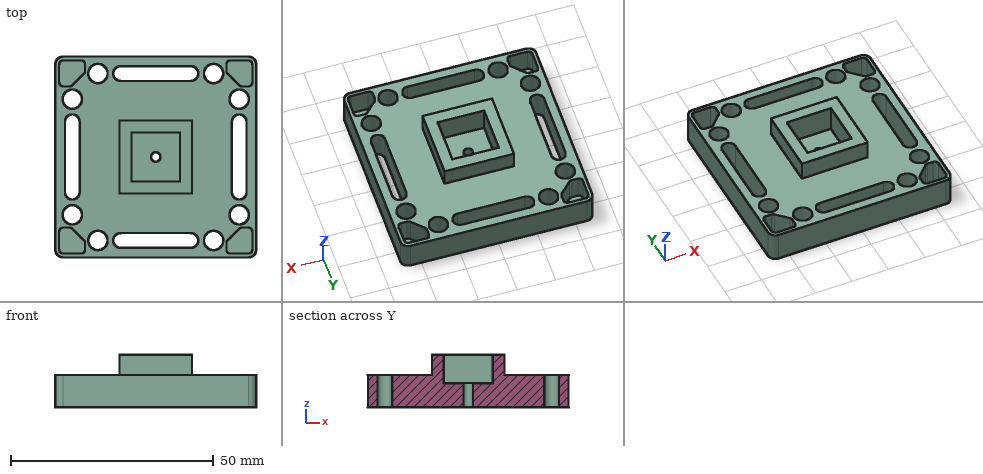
import cadquery as cq

plate_side = 49.7
plate_height = 8.0
plate_corner_radius = 2.0

overall_height = 13.0
boss_side = 18.0
socket_side = 12.05
socket_depth = 7.0
center_hole_diameter = 2.3

edge_line_offset = 20.65
edge_hole_diameter = 4.7
edge_hole_spacing = 28.6
slot_length = 20.95
slot_width = 3.6

pocket_margin = 1.0
pocket_side = 6.4
pocket_chamfer = 3.5
pocket_fillet = 1.0
pocket_depth = 7.0

QUARTER_TURNS = [0, 90, 180, 270]


def make_body():
    """Rounded plate with the square boss at its center."""
    plate = cq.Workplane("XY").rect(plate_side, plate_side).extrude(plate_height)
    plate = plate.edges("|Z").fillet(plate_corner_radius)
    boss = cq.Workplane("XY").rect(boss_side, boss_side).extrude(overall_height)
    return plate.union(boss)


def make_socket():
    """Square recess in the boss and the small hole through its floor."""
    socket_floor = overall_height - socket_depth
    recess = (
        cq.Workplane("XY")
        .workplane(offset=socket_floor)
        .rect(socket_side, socket_side)
        .extrude(socket_depth)
    )
    hole = cq.Workplane("XY").circle(center_hole_diameter / 2).extrude(overall_height)
    return recess.union(hole)


def make_edge_openings():
    """One slot with a round hole beyond each end, along the +Y edge."""
    slot = (
        cq.Workplane("XY")
        .center(0, edge_line_offset)
        .slot2D(slot_length, slot_width)
        .extrude(plate_height)
    )
    hole_x = edge_hole_spacing / 2
    holes = (
        cq.Workplane("XY")
        .pushPoints([(-hole_x, edge_line_offset), (hole_x, edge_line_offset)])
        .circle(edge_hole_diameter / 2)
        .extrude(plate_height)
    )
    return slot.union(holes)


def make_corner_pocket():
    """Blind five-sided pocket in the +X, +Y corner."""
    outer = plate_side / 2 - pocket_margin
    inner = outer - pocket_side
    cut = inner + pocket_chamfer
    outline = [(outer, outer), (inner, outer), (inner, cut), (cut, inner), (outer, inner)]
    return (
        cq.Workplane("XY")
        .workplane(offset=plate_height - pocket_depth)
        .polyline(outline)
        .close()
        .extrude(pocket_depth)
        .edges("|Z")
        .fillet(pocket_fillet)
    )


result = make_body().cut(make_socket())
edge_openings = make_edge_openings()
corner_pocket = make_corner_pocket()
for angle in QUARTER_TURNS:
    result = result.cut(edge_openings.rotate((0, 0, 0), (0, 0, 1), angle))
    result = result.cut(corner_pocket.rotate((0, 0, 0), (0, 0, 1), angle))